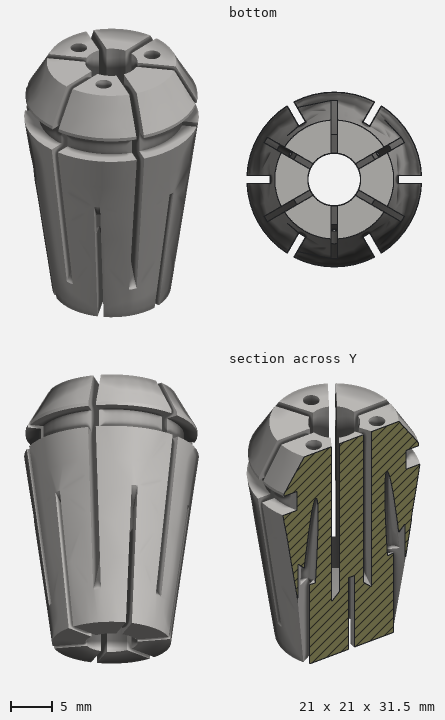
import cadquery as cq
import math

total_height = 31.5
body_radius = 10.5
body_height = 23.88
body_taper = 8.0
bore_radius = 3.15

groove_radius = 8.72
lip_bottom = 26.65
lip_top = 27.06
lip_radius = 10.33
nose_taper = 30.0

saw_radius = 22.0
slot_count = 6
slot_pitch = 360.0 / slot_count

nose_slot_width = 0.95
nose_slot_outer_z = 4.03
nose_slot_inner_z = 11.93
nose_slot_inner_radius = bore_radius

tail_slot_width = 0.75
tail_slot_outer_z = 16.8
tail_slot_inner_z = 10.75
tail_slot_inner_radius = 5.4
tail_slot_start_angle = slot_pitch / 2

coolant_radius = 1.0
coolant_circle_radius = 5.16
coolant_tilt = 5.3
coolant_depth = 19.6
coolant_count = 3
coolant_start_angle = 90.0

clearance = 2.0


def body_radius_at(z):
    return body_radius - (body_height - z) * math.tan(math.radians(body_taper))


def make_blank():
    """Turned blank: tapered body, groove, lip and nose around the bore."""
    nose_radius = lip_radius - (total_height - lip_top) * math.tan(math.radians(nose_taper))
    profile = [
        (bore_radius, 0),
        (body_radius_at(0), 0),
        (body_radius, body_height),
        (groove_radius, body_height),
        (groove_radius, lip_bottom),
        (lip_radius, lip_bottom),
        (lip_radius, lip_top),
        (nose_radius, total_height),
        (bore_radius, total_height),
    ]
    return cq.Workplane("XZ").polyline(profile).close().revolve(360, (0, 0), (0, 1))


def slot_cutter(width, outer_z, inner_radius, inner_z, open_z):
    """Radial slot along +X, open towards open_z, with an arc floor of the saw's radius."""
    outer_radius = body_radius_at(outer_z)
    run = outer_radius - inner_radius
    rise = outer_z - inner_z
    chord = math.hypot(run, rise)
    sagitta = saw_radius - math.sqrt(saw_radius**2 - (chord / 2) ** 2)
    bow = math.copysign(sagitta, open_z - outer_z)
    arc_middle = (
        (inner_radius + outer_radius) / 2 + bow * rise / chord,
        (inner_z + outer_z) / 2 - bow * run / chord,
    )
    far_radius = body_radius + clearance
    return (
        cq.Workplane("XZ")
        .moveTo(0, inner_z)
        .lineTo(inner_radius, inner_z)
        .threePointArc(arc_middle, (outer_radius, outer_z))
        .lineTo(far_radius, outer_z)
        .lineTo(far_radius, open_z)
        .lineTo(0, open_z)
        .close()
        .extrude(width / 2, both=True)
    )


def coolant_cutter():
    """Flat-ended drill for one coolant hole, entering the nose face on the +X side."""
    tilt = math.radians(coolant_tilt)
    direction = cq.Vector(math.sin(tilt), 0, -math.cos(tilt))
    entry = cq.Vector(coolant_circle_radius, 0, total_height)
    start = entry - direction * clearance
    drill = cq.Solid.makeCylinder(coolant_radius, coolant_depth + clearance, start, direction)
    return cq.Workplane(obj=drill)


def cut_around(part, cutter, count, start_angle):
    """Cut equally spaced copies of the cutter around the Z axis."""
    for index in range(count):
        angle = start_angle + index * 360.0 / count
        part = part.cut(cutter.rotate((0, 0, 0), (0, 0, 1), angle))
    return part


nose_slot = slot_cutter(
    nose_slot_width,
    nose_slot_outer_z,
    nose_slot_inner_radius,
    nose_slot_inner_z,
    total_height + clearance,
)
tail_slot = slot_cutter(
    tail_slot_width,
    tail_slot_outer_z,
    tail_slot_inner_radius,
    tail_slot_inner_z,
    -clearance,
)

result = make_blank()
result = cut_around(result, nose_slot, slot_count, 0)
result = cut_around(result, tail_slot, slot_count, tail_slot_start_angle)
result = cut_around(result, coolant_cutter(), coolant_count, coolant_start_angle)